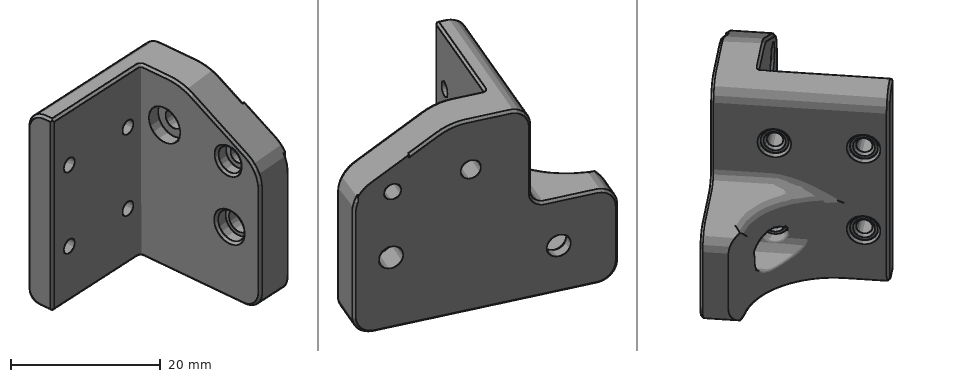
import cadquery as cq
import math

LENGTH = 38.0
DEPTH = 24.0
HEIGHT = 30.75

PLATE_THICK = 6.0
WALL_LEFT = 12.45
WALL_THICK = 4.4
WALL_RIGHT = WALL_LEFT + WALL_THICK
EDGE_CHAMFER = 0.38
CORNER_R = 3.0
SLOPE_ANGLE = 30.0
SLOPE_START_X = 23.98
SLOPE_TOP_R = 8.45
SLOPE_SIDE_R = 5.0

BLOCK_HEIGHT = 15.0
BLEND_R = 2.0
SCOOP_R = 12.0
SCOOP_X = WALL_LEFT - SCOOP_R
SCOOP_Y = -17.9
BLOCK_SIDE_DEPTH = 3.85

SHARP_EDGE_START = 30.0
SHARP_EDGE_END = 37.25

PLATE_SEAT_DEPTH = 1.9
PLAIN_SEAT_CENTRE = (21.13, 22.8)
PLAIN_SEAT_BORE = 2.9
PLAIN_SEAT_D = 5.5
UPPER_CENTRE = (32.35, 21.93)
UPPER_BORE = 2.45
UPPER_SEAT_D = 4.03
LOWER_CENTRE = (32.55, 11.45)
LOWER_BORE = 3.45
LOWER_SEAT_D = 4.65

POCKET_CENTRE = (8.5, 7.52)
POCKET_D = 6.0
POCKET_FLOOR_Y = -2.1
POCKET_BORE = 3.42
RIM_R = 0.4

SCREW_Y = (-8.55, -20.55)
SCREW_Z = (8.85, 21.9)
SCREW_BORE = 2.2
SCREW_SEAT_D = 3.75
SCREW_SEAT_DEPTH = 0.5

MARGIN = 0.38


def near(x, y, z):
    """Selector for the face or edge whose centre is closest to a point."""
    return cq.selectors.NearestToPointSelector((x, y, z))


def slope_z(x):
    """Height of the sloped top edge at a given x."""
    return HEIGHT - (x - SLOPE_START_X) * math.tan(math.radians(SLOPE_ANGLE))


def make_plate():
    outline = [
        (WALL_LEFT, 0),
        (LENGTH, 0),
        (LENGTH, slope_z(LENGTH)),
        (SLOPE_START_X, HEIGHT),
        (WALL_LEFT, HEIGHT),
    ]
    plate = cq.Workplane("XZ").polyline(outline).close().extrude(PLATE_THICK)

    def round_corner(body, x, z, radius):
        return body.edges(near(x, -PLATE_THICK / 2, z)).fillet(radius)

    plate = round_corner(plate, LENGTH, 0, CORNER_R)
    plate = round_corner(plate, LENGTH, slope_z(LENGTH), SLOPE_SIDE_R)
    plate = round_corner(plate, SLOPE_START_X, HEIGHT, SLOPE_TOP_R)
    plate = round_corner(plate, WALL_LEFT, HEIGHT, CORNER_R)
    return round_corner(plate, WALL_LEFT, 0, BLEND_R)


def make_wall():
    wall = cq.Workplane("XY").box(WALL_THICK, DEPTH, HEIGHT, centered=False)
    wall = wall.translate((WALL_LEFT, -DEPTH, 0))
    wall = wall.edges("|Y and <X and >Z").fillet(CORNER_R)
    return wall.edges("|Y and <X and <Z").fillet(BLEND_R)


def make_block():
    drop = -BLOCK_SIDE_DEPTH - SCOOP_Y
    half_sum = (SCOOP_X + drop) / 2
    half_gap = math.sqrt(SCOOP_R**2 / 2 - ((drop - SCOOP_X) / 2) ** 2)
    cheek_x = half_sum - half_gap
    mid = SCOOP_R * math.sqrt(0.5)
    plan = (
        cq.Workplane("XY")
        .moveTo(0, 0)
        .lineTo(0, -BLOCK_SIDE_DEPTH)
        .lineTo(cheek_x, -BLOCK_SIDE_DEPTH - cheek_x)
        .threePointArc((SCOOP_X + mid, SCOOP_Y + mid), (WALL_LEFT, SCOOP_Y))
        .lineTo(WALL_RIGHT, SCOOP_Y)
        .lineTo(WALL_RIGHT, 0)
        .close()
    )
    block = plan.extrude(BLOCK_HEIGHT)
    block = block.faces("%CYLINDER").edges("not >X").fillet(BLEND_R)
    envelope = (
        cq.Workplane("XY")
        .box(WALL_RIGHT, DEPTH, BLOCK_HEIGHT, centered=False)
        .translate((0, -DEPTH, 0))
        .edges("|Y and <X")
        .fillet(CORNER_R)
    )
    return block.intersect(envelope)


def join_body():
    body = make_block().union(make_wall()).union(make_plate())
    seam = cq.selectors.BoxSelector(
        (WALL_LEFT - MARGIN, SCOOP_Y + MARGIN, BLOCK_HEIGHT - BLEND_R),
        (WALL_LEFT + MARGIN, MARGIN, BLOCK_HEIGHT + MARGIN),
    )
    wall_face = body.faces(near(WALL_LEFT, -DEPTH / 2, (BLOCK_HEIGHT + HEIGHT) / 2))
    return wall_face.edges(seam).fillet(BLEND_R)


def chamfer_outer_edges(body):
    body = body.faces(">Y").edges().chamfer(EDGE_CHAMFER)
    body = body.faces("<Y").edges().chamfer(EDGE_CHAMFER)
    body = body.edges(near(WALL_RIGHT, -PLATE_THICK, HEIGHT / 2)).fillet(EDGE_CHAMFER)
    plate_rim = body.faces(near((WALL_RIGHT + LENGTH) / 2, -PLATE_THICK, HEIGHT / 2)).edges("not |Z or >X")
    wall_rim = body.faces(near(WALL_RIGHT, -DEPTH / 2, HEIGHT / 2)).edges("|Y")
    body = plate_rim.add(wall_rim).chamfer(EDGE_CHAMFER)
    return body.union(sharp_edge_fill())


def sharp_edge_fill():
    """Material that keeps part of the sloped back edge free of its chamfer."""
    strip = cq.Workplane("XY").box(
        SHARP_EDGE_END - SHARP_EDGE_START, EDGE_CHAMFER, HEIGHT / 2, centered=False
    )
    strip = strip.translate((SHARP_EDGE_START, -EDGE_CHAMFER, HEIGHT / 2))
    return strip.intersect(make_plate())


def cylinder_y(centre, diameter, y_front, y_back):
    x, z = centre
    plane = cq.Plane(origin=(x, y_back, z), normal=(0, -1, 0), xDir=(1, 0, 0))
    return cq.Workplane(plane).circle(diameter / 2).extrude(y_back - y_front)


def cylinder_x(y, z, diameter, x_left, x_right):
    plane = cq.Plane(origin=(x_left, y, z), normal=(1, 0, 0), xDir=(0, 1, 0))
    return cq.Workplane(plane).circle(diameter / 2).extrude(x_right - x_left)


def mouth_cone(origin, inward, diameter):
    """Cutter for a 45 degree chamfer at the mouth of a hole."""
    outer = diameter / 2 + EDGE_CHAMFER
    cone = cq.Solid.makeCone(outer, diameter / 2, EDGE_CHAMFER, cq.Vector(origin), cq.Vector(inward))
    return cq.Workplane(cone)


def cut_pocket(body):
    x, z = POCKET_CENTRE
    low_y, low_z = SCREW_Y[0], SCREW_Z[0]
    in_front_of_wall = (
        cq.Workplane("XY").box(WALL_LEFT, DEPTH, HEIGHT, centered=False).translate((0, -DEPTH, 0))
    )
    pocket = cylinder_y(POCKET_CENTRE, POCKET_D, -DEPTH, POCKET_FLOOR_Y).intersect(in_front_of_wall)
    screw_access = cylinder_x(low_y, low_z, SCREW_SEAT_D, 0, WALL_LEFT + SCREW_SEAT_DEPTH)
    body = body.cut(pocket.union(screw_access))

    scoop = max(body.faces("%CYLINDER").vals(), key=lambda face: face.Area())
    rim = scoop.innerWires()[0].Edges()
    entry_region = cq.selectors.BoxSelector(
        (x + POCKET_D / 4, low_y - SCREW_SEAT_D, low_z - SCREW_SEAT_D),
        (WALL_LEFT, low_y + SCREW_SEAT_D, low_z + SCREW_SEAT_D),
    )
    entry = [
        edge
        for edge in body.edges(entry_region).edges("%BSPLINE").vals()
        if not any(edge.isSame(other) for other in rim)
    ]
    body = body.newObject(rim + entry).fillet(RIM_R)

    body = body.cut(cylinder_y(POCKET_CENTRE, POCKET_BORE, POCKET_FLOOR_Y, 0))
    return body.cut(mouth_cone((x, POCKET_FLOOR_Y, z), (0, 1, 0), POCKET_BORE))


def cut_plate_hole(body, centre, bore, seat):
    body = body.cut(cylinder_y(centre, bore, -PLATE_THICK, 0))
    return body.cut(cylinder_y(centre, seat, -PLATE_THICK, PLATE_SEAT_DEPTH - PLATE_THICK))


def cut_chamfered_plate_hole(body, centre, bore, seat):
    x, z = centre
    body = cut_plate_hole(body, centre, bore, seat)
    return body.cut(mouth_cone((x, -PLATE_THICK, z), (0, 1, 0), seat))


def cut_screw_hole(body, y, z, open_mouth):
    seat_x = WALL_LEFT + SCREW_SEAT_DEPTH
    body = body.cut(cylinder_x(y, z, SCREW_BORE, seat_x, WALL_RIGHT))
    body = body.cut(mouth_cone((seat_x, y, z), (1, 0, 0), SCREW_BORE))
    if open_mouth:
        body = body.cut(cylinder_x(y, z, SCREW_SEAT_D, WALL_LEFT, seat_x))
        body = body.cut(mouth_cone((WALL_LEFT, y, z), (1, 0, 0), SCREW_SEAT_D))
    return body


result = cut_pocket(chamfer_outer_edges(join_body()))
result = cut_plate_hole(result, PLAIN_SEAT_CENTRE, PLAIN_SEAT_BORE, PLAIN_SEAT_D)
result = cut_chamfered_plate_hole(result, UPPER_CENTRE, UPPER_BORE, UPPER_SEAT_D)
result = cut_chamfered_plate_hole(result, LOWER_CENTRE, LOWER_BORE, LOWER_SEAT_D)
for screw_y in SCREW_Y:
    for screw_z in SCREW_Z:
        in_pocket = (screw_y, screw_z) == (SCREW_Y[0], SCREW_Z[0])
        result = cut_screw_hole(result, screw_y, screw_z, not in_pocket)